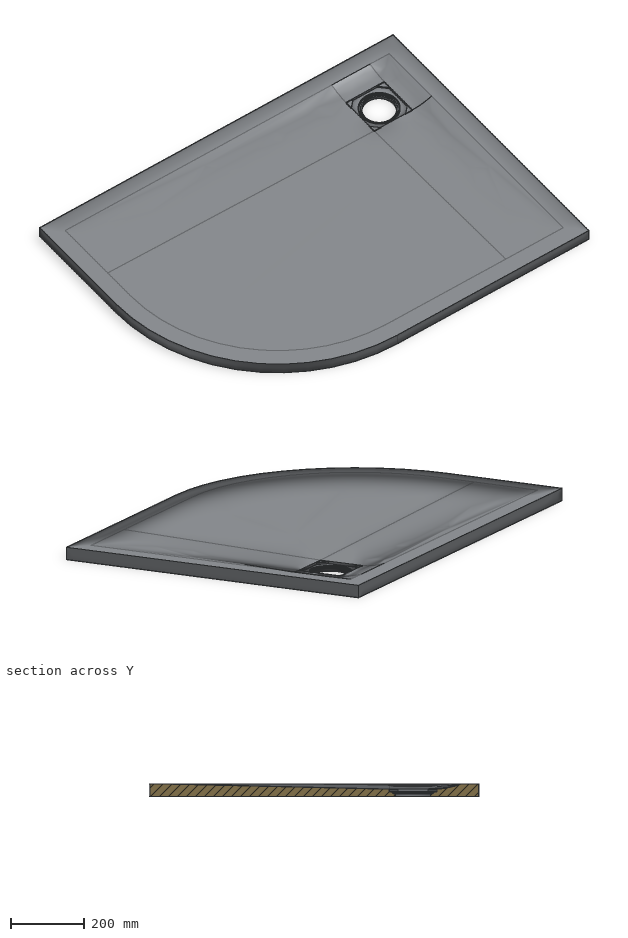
import cadquery as cq
import math


width = 900.0
length = 1200.0
thickness = 35.0
front_radius = 550.0
rim_width = 50.0

basin_depth = 14.0
slope_inner_controls = [85.0, 107.5, 120.0, 137.0]
seat_edge_fraction = 0.5
section_count = 5
cutter_headroom = 10.0

seat_size = 130.0
seat_near_edge = 115.0
seat_far_edge = seat_near_edge + seat_size
seat_center = seat_near_edge + seat_size / 2
seat_depth = 7.0
seat_corner_leg = 24.0
corner_ledge_depth = 2.5
step_diameters = [115.0, 111.0, 103.0]
step_height = 2.0
hole_diameter = 95.0

floor_level = thickness - basin_depth
seat_level = floor_level - seat_depth
ledge_level = floor_level - corner_ledge_depth
cutter_top = thickness + cutter_headroom
slope_controls = [rim_width] + slope_inner_controls + [seat_far_edge]
slope_degree = len(slope_controls) - 1
basin_right = width - rim_width
basin_front = length - rim_width


def tray_blank():
    """Flat slab with one large rounded front corner."""
    slab = cq.Workplane("XY").box(width, length, thickness, centered=False)
    slab = slab.translate((0, -length, 0))
    return slab.edges("|Z and >X and <Y").fillet(front_radius)


def slope_section(distance, depth):
    """Wire across the left basin slope at a distance from the rear side.

    The floor leaves the rim steeply and is level at the far edge of the seat.
    """
    def point(x, z):
        return cq.Vector(x, -distance, z)

    rim_point = point(rim_width, thickness)
    floor_points = [point(x, thickness - depth) for x in slope_controls[1:]]
    top_right = point(seat_far_edge, cutter_top)
    top_left = point(rim_width, cutter_top)
    return cq.Wire.assembleEdges([
        cq.Edge.makeBezier([rim_point] + floor_points),
        cq.Edge.makeLine(floor_points[-1], top_right),
        cq.Edge.makeLine(top_right, top_left),
        cq.Edge.makeLine(top_left, rim_point),
    ])


def rising_channel(end_distance):
    """Cutter from the far edge of the seat to a rim, where its floor reaches the rim level."""
    start = slope_section(seat_far_edge, basin_depth)
    end = slope_section(end_distance, 0)
    return cq.Solid.makeLoft([start, end], True)


def swap_sides(solid):
    """Mirror a cutter so that the left side becomes the rear side."""
    return solid.mirror(cq.Vector(1, 1, 0))


def slope_distance(fraction):
    """Distance from the side at a fraction along the Bezier slope profile."""
    return sum(
        math.comb(slope_degree, k) * (1 - fraction) ** (slope_degree - k) * fraction ** k * control
        for k, control in enumerate(slope_controls)
    )


def drain_corner(start, end):
    """Cutter for part of the corner around the drain, sloping down from both rims.

    Start and end are fractions along the slope profile of the rear side.
    """
    sections = []
    for index in range(section_count):
        fraction = start + (end - start) * index / (section_count - 1)
        depth = basin_depth * (1 - (1 - fraction) ** slope_degree)
        sections.append(slope_section(slope_distance(fraction), depth))
    return cq.Solid.makeLoft(sections, False)


def main_floor():
    """Cutter rising smoothly from the front right corner of the seat to the rim."""
    inner_radius = front_radius - rim_width
    arc_middle_offset = inner_radius * math.sqrt(0.5)

    def rim_point(x, y):
        return cq.Vector(x, y, thickness)

    apex = cq.Vector(seat_far_edge, -seat_far_edge, floor_level)
    above_apex = rim_point(seat_far_edge, -seat_far_edge)
    right_end = rim_point(basin_right, -seat_far_edge)
    front_end = rim_point(seat_far_edge, -basin_front)
    center = rim_point(basin_right - inner_radius, inner_radius - basin_front)
    arc_start = center + cq.Vector(inner_radius, 0, 0)
    arc_middle = center + cq.Vector(arc_middle_offset, -arc_middle_offset, 0)
    arc_end = center - cq.Vector(0, inner_radius, 0)

    rim_edges = [
        cq.Edge.makeLine(right_end, arc_start),
        cq.Edge.makeThreePointArc(arc_start, arc_middle, arc_end),
        cq.Edge.makeLine(arc_end, front_end),
    ]
    right_seam = cq.Edge.makeLine(apex, right_end)
    front_seam = cq.Edge.makeLine(front_end, apex)
    upright = cq.Edge.makeLine(apex, above_apex)
    right_top = cq.Edge.makeLine(above_apex, right_end)
    front_top = cq.Edge.makeLine(front_end, above_apex)
    faces = [
        cq.Face.makeNSidedSurface([right_seam] + rim_edges + [front_seam], []),
        cq.Face.makeFromWires(cq.Wire.assembleEdges([right_top] + rim_edges + [front_top])),
        cq.Face.makeFromWires(cq.Wire.assembleEdges([upright, right_top, right_seam])),
        cq.Face.makeFromWires(cq.Wire.assembleEdges([upright, front_top, front_seam])),
    ]
    return cq.Solid.makeSolid(cq.Shell.makeShell(faces))


def drain_cutters():
    """Seat with raised corner ledges, a stepped counterbore and a through hole."""
    def at_level(level):
        return cq.Workplane("XY", origin=(seat_center, -seat_center, level))

    square = at_level(ledge_level).rect(seat_size, seat_size).extrude(thickness - ledge_level)
    octagon = at_level(seat_level).rect(seat_size, seat_size).extrude(thickness - seat_level)
    octagon = octagon.edges("|Z").chamfer(seat_corner_leg)
    hole = at_level(0).circle(hole_diameter / 2).extrude(thickness)
    cutters = [square, octagon, hole]
    for index, diameter in enumerate(step_diameters):
        step_level = seat_level - (index + 1) * step_height
        step = at_level(step_level).circle(diameter / 2).extrude(thickness - step_level)
        cutters.append(step)
    return cutters


result = tray_blank()
basin_cutters = [
    drain_corner(0, seat_edge_fraction),
    drain_corner(seat_edge_fraction, 1),
    rising_channel(basin_front),
    swap_sides(rising_channel(basin_right)),
    main_floor(),
]
for cutter in basin_cutters + drain_cutters():
    result = result.cut(cutter)